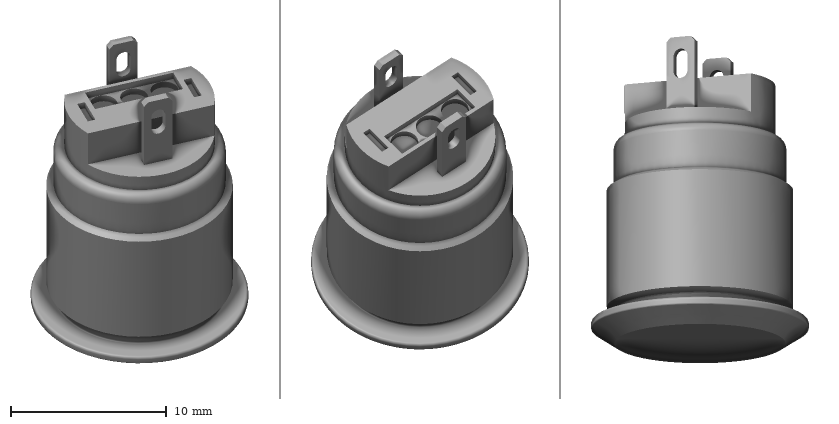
import cadquery as cq

flange_radius = 14.0 / 2
neck_radius = 11.0 / 2
body_radius = 12.0 / 2
shoulder_radius = 11.1 / 2
insert_radius = 9.7 / 2

flange_base_radius = neck_radius
flange_cone_top = 1.0
flange_top = 1.48
rim_fillet = 0.18
edge_fillet = 0.1
neck_top = 2.09
body_bottom = 2.38
body_top = 10.1
shoulder_bottom = 10.4
shoulder_top = 13.42
shoulder_fillet = 0.6

deck_top = 14.49
block_top = 17.0
block_width = 4.33

well_diameter = 1.8
well_pitch = 2.09
well_count = 3
well_depth = 0.47
pocket_x = -1.0
pocket_width = 1.83
pocket_length = 6.05
pocket_depth = 0.5

terminal_top = 19.5
terminal_x = 3.22
terminal_width = 1.95
terminal_thickness = 0.53
terminal_chamfer = 0.3
eyelet_width = 0.95
eyelet_length = 1.93
eyelet_center_z = 17.75

slot_y = 3.65
slot_depth = 0.49


def axial_range(low, high):
    """Selector for items centred on the Z axis between two heights."""
    return cq.selectors.BoxSelector((-0.2, -0.2, low), (0.2, 0.2, high))


def make_housing():
    """Flange, neck, body and rounded shoulder as one revolved profile."""
    profile = (
        cq.Workplane("XZ")
        .lineTo(flange_base_radius, 0)
        .lineTo(flange_radius, flange_cone_top)
        .lineTo(flange_radius, flange_top - rim_fillet)
        .radiusArc((flange_radius - rim_fillet, flange_top), -rim_fillet)
        .lineTo(neck_radius, flange_top)
        .lineTo(neck_radius, neck_top)
        .lineTo(body_radius, body_bottom)
        .lineTo(body_radius, body_top)
        .lineTo(shoulder_radius, shoulder_bottom)
        .lineTo(shoulder_radius, shoulder_top - shoulder_fillet)
        .radiusArc((shoulder_radius - shoulder_fillet, shoulder_top), -shoulder_fillet)
        .lineTo(0, shoulder_top)
        .close()
    )
    housing = profile.revolve(360, (0, 0, 0), (0, 1, 0))

    cone_edge = axial_range(flange_cone_top - edge_fillet, flange_cone_top + edge_fillet)
    neck = axial_range(flange_top, neck_top)
    housing = housing.edges(cone_edge).fillet(edge_fillet)
    return housing.faces(neck).edges("%CIRCLE").fillet(edge_fillet)


def make_insert():
    """Round deck carrying a block whose ends follow the same circle."""
    shoulder_plane = cq.Workplane("XY").workplane(offset=shoulder_top)
    deck = shoulder_plane.circle(insert_radius).extrude(deck_top - shoulder_top)
    cylinder = shoulder_plane.circle(insert_radius).extrude(block_top - shoulder_top)
    band = shoulder_plane.rect(block_width, 2 * insert_radius).extrude(block_top - shoulder_top)
    return deck.union(cylinder.intersect(band))


def make_pocket():
    """Rectangular pocket with a row of round wells in its floor."""
    top = cq.Workplane("XY").workplane(offset=block_top).center(pocket_x, 0)
    pocket = top.rect(pocket_width, pocket_length).extrude(-pocket_depth)
    well_row = top.rarray(0.2, well_pitch, 1, well_count)
    wells = well_row.circle(well_diameter / 2).extrude(-pocket_depth - well_depth)
    return pocket.union(wells)


def make_terminal_slots():
    """Two blind slots near the ends of the block."""
    return (
        cq.Workplane("XY")
        .workplane(offset=block_top)
        .rarray(0.2, 2 * slot_y, 1, 2)
        .rect(terminal_width, terminal_thickness)
        .extrude(-slot_depth)
    )


def make_terminal(x):
    """Flat blade with clipped top corners and an oblong eyelet."""
    blade_height = terminal_top - deck_top
    blade = (
        cq.Workplane("XY")
        .box(terminal_thickness, terminal_width, blade_height)
        .edges("|X and >Z")
        .chamfer(terminal_chamfer)
        .translate((x, 0, deck_top + blade_height / 2))
    )
    eyelet = (
        cq.Workplane("YZ")
        .center(0, eyelet_center_z)
        .slot2D(eyelet_length, eyelet_width, 90)
        .extrude(terminal_thickness, both=True)
        .translate((x, 0, 0))
    )
    return blade.cut(eyelet)


result = make_housing().union(make_insert()).cut(make_pocket()).cut(make_terminal_slots())
for side in (-1, 1):
    result = result.union(make_terminal(side * terminal_x))